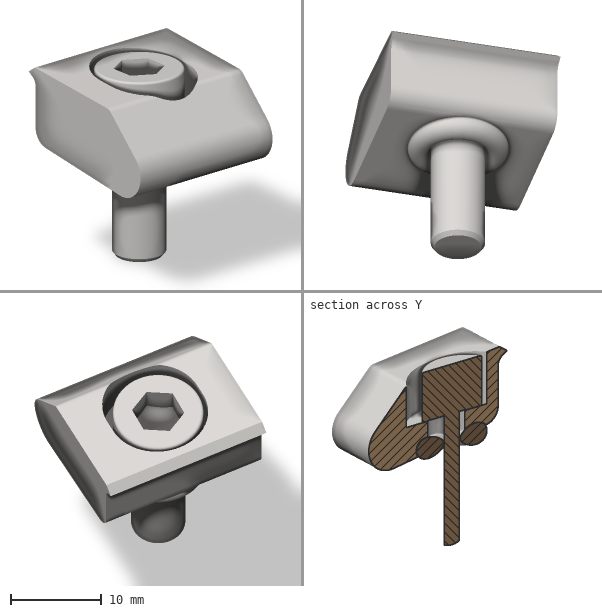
import cadquery as cq
import math


shank_diameter = 6.0
shank_radius = shank_diameter / 2
shank_length = 16.0
head_radius = 5.0
head_height = shank_diameter
head_edge_radius = 0.3
tip_chamfer_radial = 0.4
tip_chamfer_height = 0.5
hex_across_flats = 5.0
hex_corner_diameter = hex_across_flats / math.cos(math.radians(30))
hex_depth = 2.65
hex_floor_angle = 30.0
screw_top = shank_length + head_height

ring_section_radius = 1.3
ring_center_radius = shank_radius + ring_section_radius

block_width = 19.1
block_top = 22.4
block_bottom = 11.45
back_x = -6.4
hook_tip_x = -7.6
hook_tip_z = 21.64
hook_top_x = -6.52
hook_underside_angle = 33.0
top_slope = 5.9
underside_slope = 8.8
nose_slope = 45.5
nose_radius = 3.0
nose_x = 11.45
hook_fillet = 1.12
heel_fillet = 2.0
shoulder_fillet = 1.08

slot_travel = 1.5
head_slot_width = 11.02
shank_slot_width = 6.6

ring_z = block_bottom + ring_section_radius


def make_screw():
    shank = cq.Workplane("XY").circle(shank_radius).extrude(shank_length)
    shank = shank.faces("<Z").chamfer(tip_chamfer_height, tip_chamfer_radial)
    head = cq.Workplane("XY", origin=(0, 0, shank_length)).circle(head_radius).extrude(head_height)
    head = head.faces(">Z").edges().fillet(head_edge_radius)
    return shank.union(head).cut(make_hex_socket())


def make_hex_socket():
    """Hexagonal prism with a conical floor starting at the hexagon corners."""
    corner_radius = hex_corner_diameter / 2
    cone_height = corner_radius * math.tan(math.radians(hex_floor_angle))
    floor_z = screw_top - hex_depth
    drill = (
        cq.Workplane("XZ")
        .moveTo(0, floor_z - cone_height)
        .lineTo(corner_radius, floor_z)
        .lineTo(corner_radius, screw_top)
        .lineTo(0, screw_top)
        .close()
        .revolve(360, (0, 0, 0), (0, 1, 0))
    )
    prism = (
        cq.Workplane("XY", origin=(0, 0, floor_z - cone_height))
        .polygon(6, hex_corner_diameter)
        .extrude(hex_depth + cone_height)
    )
    return prism.intersect(drill)


def make_ring():
    return (
        cq.Workplane("XZ")
        .center(ring_center_radius, ring_z)
        .circle(ring_section_radius)
        .revolve(360, (-ring_center_radius, 0, 0), (-ring_center_radius, 1, 0))
    )


def make_block():
    nose_center_x = nose_x - nose_radius
    nose_center_z = block_bottom + nose_radius

    def on_nose(angle):
        turn = math.radians(angle)
        return nose_center_x + nose_radius * math.cos(turn), nose_center_z + nose_radius * math.sin(turn)

    nose_start = on_nose(90 - nose_slope)
    nose_end = on_nose(-90 - underside_slope)

    top_fall = math.tan(math.radians(top_slope))
    nose_fall = math.tan(math.radians(nose_slope))
    front_height = nose_start[1] + nose_fall * (nose_start[0] - hook_top_x) - block_top
    shoulder_x = hook_top_x + front_height / (nose_fall - top_fall)
    shoulder_z = block_top - top_fall * (shoulder_x - hook_top_x)

    heel_z = nose_end[1] + math.tan(math.radians(underside_slope)) * (nose_end[0] - back_x)
    hook_root_z = hook_tip_z - math.tan(math.radians(hook_underside_angle)) * (back_x - hook_tip_x)

    block = (
        cq.Workplane("XZ")
        .moveTo(hook_tip_x, hook_tip_z)
        .lineTo(hook_top_x, block_top)
        .lineTo(shoulder_x, shoulder_z)
        .lineTo(*nose_start)
        .threePointArc(on_nose(0), nose_end)
        .lineTo(back_x, heel_z)
        .lineTo(back_x, hook_root_z)
        .close()
        .extrude(block_width / 2, both=True)
    )
    rounded_corners = [
        (shoulder_x, shoulder_z, shoulder_fillet),
        (back_x, heel_z, heel_fillet),
        (back_x, hook_root_z, hook_fillet),
    ]
    for x, z, radius in rounded_corners:
        block = block.edges(cq.NearestToPointSelector((x, 0, z))).fillet(radius)

    block = block.cut(make_slot(head_slot_width, shank_length, block_top))
    return block.cut(make_slot(shank_slot_width, 0, block_top))


def make_slot(width, bottom, top):
    """Slot along X whose -X end is centered on the screw axis."""
    return (
        cq.Workplane("XY", origin=(slot_travel / 2, 0, bottom))
        .slot2D(width + slot_travel, width)
        .extrude(top - bottom)
    )


screw = make_screw()
ring = make_ring()
block = make_block().cut(ring)

result = cq.Compound.makeCompound([block.val(), screw.val(), ring.val()])